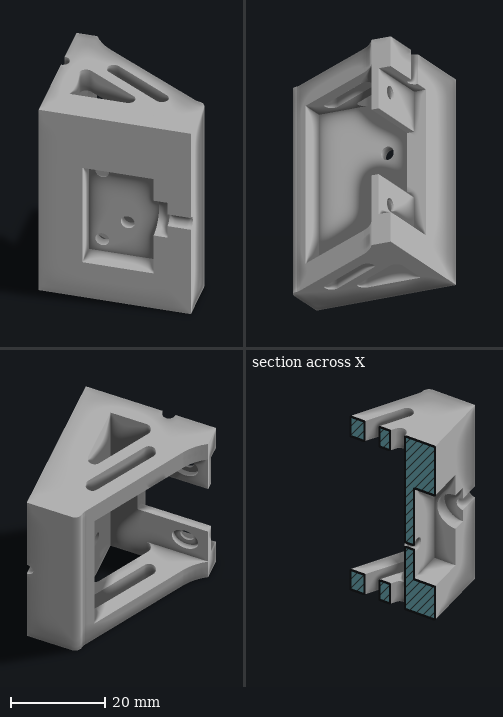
import cadquery as cq
import math

width = 33.53
depth = 29.85
height = 46.5
mid_height = height / 2
round_diameter = 3.0
round_radius = round_diameter / 2

shoulder_width = 4.6
slope_start = (8.55, 25.8)
slope_end = (31.15, 12.3)
shoulder_arc_middle = (6.3, 27.65)
nose_radius = 1.67
nose_top = (width - nose_radius, 12.05)

side_wall = 4.55
front_wall = 7.5
plate_thickness = 5.4

side_front = 13.7
recess_depth = 2.9
recess_bottom = 6.75
window_bottom = 15.8
tab_hole_y = 24.55
tab_hole_z = 10.55
tab_skin = 0.5
tab_counterbore_diameter = 6.0
side_groove_y = 19.0

slot_left = (11.25, 18.95)
slot_right = (24.0, 11.2)
triangle_left_y = 15.7
triangle_right_x = 17.25

pocket_left = 9.63
pocket_width = 15.65
pocket_bottom = 8.97
pocket_height = 24.3
pocket_depth = 5.2
neck_diameter = 8.97
neck_length = 3.05
through_hole_x = 12.55
through_hole_heights = (12.0, 29.55)
blind_hole_x = 18.2
blind_hole_z = 17.4
blind_hole_depth = 2.2


def box(x0, x1, y0, y1, z0, z1):
    return cq.Workplane("XY").box(x1 - x0, y1 - y0, z1 - z0, centered=False).translate((x0, y0, z0))


def rod(start, direction, length, diameter):
    return cq.Workplane(
        obj=cq.Solid.makeCylinder(diameter / 2, length, cq.Vector(*start), cq.Vector(*direction))
    )


def vertical_slot(start, end):
    """Round-ended cutter of full height whose end centres are start and end."""
    dx = end[0] - start[0]
    dy = end[1] - start[1]
    center = ((start[0] + end[0]) / 2, (start[1] + end[1]) / 2)
    return (
        cq.Workplane("XY")
        .center(*center)
        .slot2D(math.hypot(dx, dy) + round_diameter, round_diameter, math.degrees(math.atan2(dy, dx)))
        .extrude(height)
    )


def body():
    nose_offset = nose_radius * math.sqrt(0.5)
    nose_center_y = nose_top[1] - nose_radius
    nose_middle = (nose_top[0] + nose_offset, nose_center_y + nose_offset)
    return (
        cq.Workplane("XY")
        .lineTo(width, 0)
        .lineTo(width, nose_center_y)
        .threePointArc(nose_middle, nose_top)
        .lineTo(*slope_end)
        .lineTo(*slope_start)
        .threePointArc(shoulder_arc_middle, (shoulder_width, depth))
        .lineTo(0, depth)
        .close()
        .extrude(height)
    )


def cut_rear_cavity(part):
    return part.cut(
        box(side_wall, width - side_wall, front_wall, depth, plate_thickness, height - plate_thickness)
    )


def cut_side_recess(part):
    recess = box(0, recess_depth, side_front, depth, recess_bottom, height - recess_bottom)
    window = box(0, width, side_front, depth, window_bottom, height - window_bottom)
    part = part.cut(recess).cut(window)
    for z in (tab_hole_z, height - tab_hole_z):
        part = part.cut(rod((0, tab_hole_y, z), (1, 0, 0), width, round_diameter))
        bore_x = recess_depth + tab_skin
        bore_length = side_wall - bore_x
        part = part.cut(rod((bore_x, tab_hole_y, z), (1, 0, 0), bore_length, tab_counterbore_diameter))
    groove_bottom = height - recess_bottom
    return part.cut(rod((0, side_groove_y, groove_bottom), (0, 0, 1), recess_bottom, round_diameter))


def cut_plate_openings(part):
    left_tip = (side_wall + round_radius, triangle_left_y)
    right_tip = (triangle_right_x, front_wall + round_radius)
    triangle = (
        cq.Workplane("XY")
        .polyline([
            (side_wall, front_wall),
            (right_tip[0], front_wall),
            right_tip,
            left_tip,
            (side_wall, left_tip[1]),
        ])
        .close()
        .extrude(height)
    )
    return part.cut(triangle).cut(vertical_slot(left_tip, right_tip)).cut(vertical_slot(slot_left, slot_right))


def cut_front_pocket(part):
    pocket_right = pocket_left + pocket_width
    pocket_top = pocket_bottom + pocket_height
    part = part.cut(box(pocket_left, pocket_right, 0, pocket_depth, pocket_bottom, pocket_top))
    neck_start = (pocket_right, 0, mid_height)
    part = part.cut(rod(neck_start, (1, 0, 0), neck_length, neck_diameter))
    part = part.cut(rod(neck_start, (1, 0, 0), width - pocket_right, round_diameter))
    for z in through_hole_heights:
        part = part.cut(rod((through_hole_x, 0, z), (0, 1, 0), depth, round_diameter))
    blind_start = (blind_hole_x, pocket_depth, blind_hole_z)
    return part.cut(rod(blind_start, (0, 1, 0), blind_hole_depth, round_diameter))


result = body()
result = cut_rear_cavity(result)
result = cut_side_recess(result)
result = cut_plate_openings(result)
result = cut_front_pocket(result)